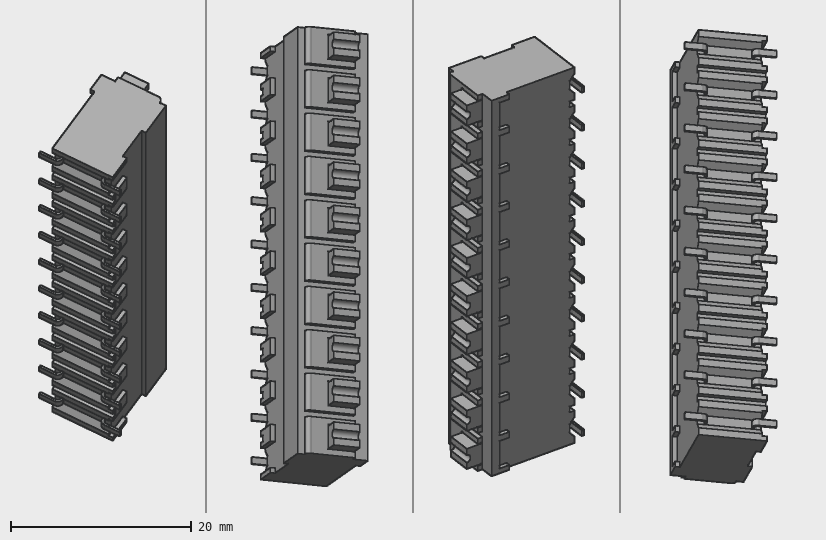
import cadquery as cq

total_height = 49.2
contact_count = 10
end_margin = 2.1
pitch = (total_height - 2 * end_margin) / (contact_count - 1)
contact_heights = [end_margin + i * pitch for i in range(contact_count)]
joint_heights = [z + pitch / 2 for z in contact_heights[:-1]]

half_width = 4.2
core_half_width = 3.65
housing_bottom = 0.2
housing_top = 11.75
lip_bottom = 10.7
tab_bottom = 9.35
side_notch_bottom = 3.3
side_notch_top = 7.4

shoulder_left = -2.4
shoulder_right = 3.35
shoulder_top = 12.4
shoulder_round = 0.5

joint_gap = 0.75
end_tab = 0.65
groove_floor = 0.85
pin_groove_mouth = 2.55
pin_groove_base = 1.1
side_relief = 3.05

button_right = 0.7
button_top = 13.85
button_height = 2.65
button_clearance = 0.1
button_notch_radius = 0.5

pin_span = 10.5
pin_half_span = pin_span / 2
pin_height = 0.8
pin_thickness = 0.3
pin_bend_radius = 0.65
pin_inner_face = 2.55
pin_corner = 0.075


def box(x0, x1, y0, y1, z0, z1):
    """Block between the given limits."""
    return cq.Workplane("XY").box(x1 - x0, y1 - y0, z1 - z0, centered=False).translate((x0, y0, z0))


def band(x0, x1, y0, y1, z, height):
    """Block of the given height centred on z."""
    return box(x0, x1, y0, y1, z - height / 2, z + height / 2)


def make_housing():
    """Core with a full-height right flange, a left lip and the rounded shoulder."""
    core = box(-core_half_width, half_width, housing_bottom, housing_top, 0, total_height)
    lip = box(-half_width, -core_half_width, lip_bottom, housing_top, 0, total_height)
    shoulder = box(shoulder_left, shoulder_right, lip_bottom, shoulder_top, 0, total_height)
    shoulder = shoulder.edges("|Z and >X and >Y").fillet(shoulder_round)
    side_notch = box(core_half_width, half_width, side_notch_bottom, side_notch_top, 0, total_height)
    return core.union(lip).union(shoulder).cut(side_notch)


def make_tabs():
    """Short tabs hanging from the left lip at every joint and at both ends."""
    tabs = box(-half_width, -core_half_width, tab_bottom, lip_bottom, 0, end_tab)
    tabs = tabs.union(tabs.translate((0, 0, total_height - end_tab)))
    for z in joint_heights:
        tabs = tabs.union(band(-half_width, -core_half_width, tab_bottom, lip_bottom, z, joint_gap))
    return tabs


def make_joint_cut(z):
    """Slot across the shoulder and groove across the underside between two contacts."""
    slot = band(shoulder_left, shoulder_right, housing_top, shoulder_top, z, joint_gap)
    groove = band(-half_width, half_width, housing_bottom, groove_floor, z, joint_gap)
    return slot.union(groove)


def make_contact_cut(z):
    """Tapered pin groove, right side relief and button opening of one contact."""
    groove = (
        cq.Workplane("YZ", origin=(-half_width, 0, z))
        .moveTo(housing_bottom, -pin_groove_mouth / 2)
        .lineTo(groove_floor, -pin_groove_base / 2)
        .lineTo(groove_floor, pin_groove_base / 2)
        .lineTo(housing_bottom, pin_groove_mouth / 2)
        .close()
        .extrude(2 * half_width)
    )
    relief = band(core_half_width, half_width, housing_bottom, side_notch_bottom, z, side_relief)
    opening_height = button_height + 2 * button_clearance
    opening_right = button_right + button_clearance
    opening = band(shoulder_left, opening_right, housing_top, shoulder_top, z, opening_height)
    return groove.union(relief).union(opening)


def make_button(z):
    """Push button with a round notch across its top."""
    button = band(shoulder_left, button_right, housing_top, button_top, z, button_height)
    notch = (
        cq.Workplane("YZ", origin=(shoulder_left, button_top, z))
        .circle(button_notch_radius)
        .extrude(button_right - shoulder_left)
    )
    return button.cut(notch)


def make_right_pin(z):
    """Pin that leaves the housing downwards and bends out to the right."""
    pin = (
        cq.Workplane("XY", origin=(0, 0, z - pin_height / 2))
        .moveTo(pin_half_span, 0)
        .lineTo(pin_inner_face + pin_bend_radius, 0)
        .radiusArc((pin_inner_face, pin_bend_radius), pin_bend_radius)
        .lineTo(pin_inner_face, groove_floor)
        .lineTo(pin_inner_face + pin_thickness, groove_floor)
        .lineTo(pin_inner_face + pin_thickness, pin_bend_radius)
        .radiusArc((pin_inner_face + pin_bend_radius, pin_thickness), pin_thickness - pin_bend_radius)
        .lineTo(pin_half_span, pin_thickness)
        .close()
        .extrude(pin_height)
    )
    return pin.edges("|Y and >X").chamfer(pin_corner)


result = make_housing().union(make_tabs())
for joint_z in joint_heights:
    result = result.cut(make_joint_cut(joint_z))
for contact_z in contact_heights:
    right_pin = make_right_pin(contact_z)
    result = result.cut(make_contact_cut(contact_z))
    result = result.union(make_button(contact_z))
    result = result.union(right_pin).union(right_pin.mirror("YZ"))